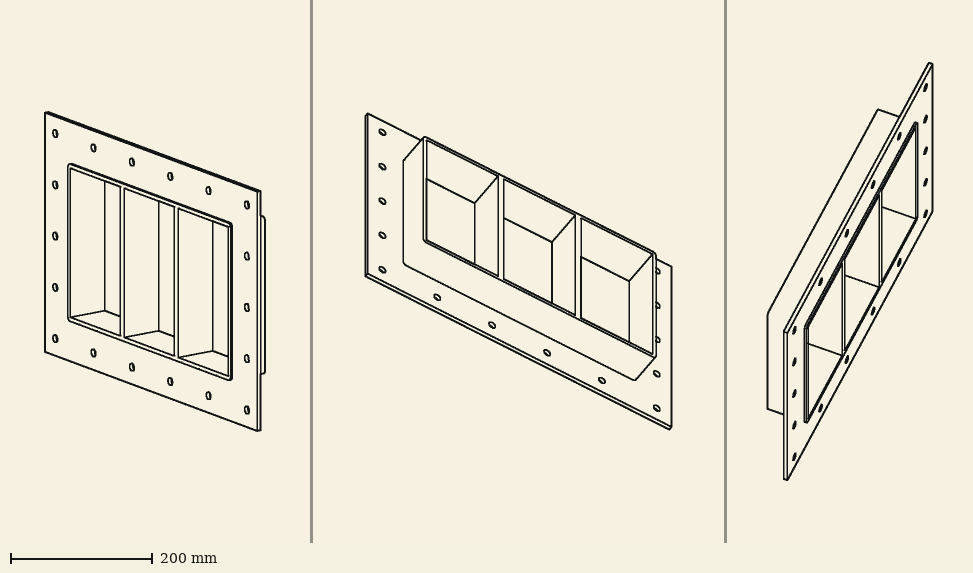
import cadquery as cq

flange_width = 513.5
flange_height = 350.0
flange_thickness = 6.0

flange_border = 60.0
frame_width = flange_width - 2 * flange_border
frame_height = flange_height - 2 * flange_border
frame_depth = 60.0
frame_wall = 6.0
frame_corner_radius = 6.0
front_projection = 3.0

opening_count = 3
divider_thickness = 10.0
clear_width = frame_width - 2 * frame_wall - (opening_count - 1) * divider_thickness
opening_width = clear_width / opening_count
opening_height = frame_height - 2 * frame_wall
opening_pitch = opening_width + divider_thickness

hole_diameter = 10.5
hole_edge_distance = 25.0
holes_along_width = 6
holes_along_height = 5
hole_span_x = flange_width - 2 * hole_edge_distance
hole_span_z = flange_height - 2 * hole_edge_distance


def block(width, depth, height, front_y):
    """Box centred in X and Z whose front face lies at front_y."""
    return cq.Workplane("XY").box(width, depth, height).translate((0, front_y + depth / 2, 0))


def bolt_hole_points():
    """Evenly spaced (x, z) hole centres along the four flange edges."""
    pitch_x = hole_span_x / (holes_along_width - 1)
    pitch_z = hole_span_z / (holes_along_height - 1)
    points = []
    for column in range(holes_along_width):
        x = column * pitch_x - hole_span_x / 2
        points += [(x, -hole_span_z / 2), (x, hole_span_z / 2)]
    for row in range(1, holes_along_height - 1):
        z = row * pitch_z - hole_span_z / 2
        points += [(-hole_span_x / 2, z), (hole_span_x / 2, z)]
    return points


def make_flange():
    """Plate with its ring of bolt holes."""
    plate = block(flange_width, flange_thickness, flange_height, front_projection)
    holes = (
        cq.Workplane("XZ")
        .pushPoints(bolt_hole_points())
        .circle(hole_diameter / 2)
        .extrude(-frame_depth)
    )
    return plate.cut(holes)


def make_frame():
    """Solid frame body with rounded outer corners."""
    return block(frame_width, frame_depth, frame_height, 0).edges("|Y").fillet(frame_corner_radius)


def make_openings():
    """Row of rectangular cutters running through the full frame depth."""
    opening = block(opening_width, frame_depth, opening_height, 0)
    cutters = cq.Workplane("XY")
    for index in range(opening_count):
        x = (index - (opening_count - 1) / 2) * opening_pitch
        cutters = cutters.add(opening.translate((x, 0, 0)))
    return cutters.combine()


def make_part():
    """Flange and frame joined, then opened up between the dividers."""
    body = make_flange().union(make_frame())
    return body.cut(make_openings())


result = make_part()